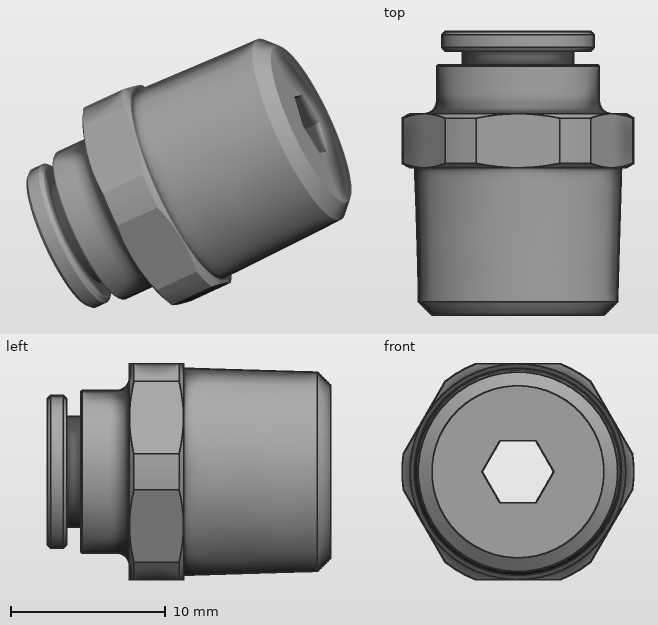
import cadquery as cq
import math

length = 18.37
tip_chamfer_end = 0.88
hex_start = 9.53
hex_end = 13.05
neck_end = 13.83
body_end = 16.2
collar_start = 17.08

tip_radius = 5.57
thread_small_radius = 6.45
thread_large_radius = 6.7
body_radius = 5.27
groove_radius = 3.6
collar_radius = 4.95

hex_flats = 14.0
hex_corner_diameter = 15.0
hex_corner_radius = hex_corner_diameter / 2
hex_chamfer_radius = 6.98
hex_chamfer_length = 0.3

collar_chamfer = 0.24
body_chamfer = 0.11
socket_flats = 4.0


def hexagon(flats, start, end):
    """Hexagonal prism along Y with two corners on the X axis."""
    across_corners = flats / math.cos(math.radians(30))
    plane = cq.Workplane("XZ", origin=(0, end, 0))
    return plane.polygon(6, across_corners).extrude(end - start)


def revolve_about_y(profile):
    """Close a half profile and turn it around the Y axis."""
    return profile.close().revolve(360, (0, 0, 0), (0, 1, 0))


def cylinder(radius, start, end):
    """Round bar along Y."""
    return cq.Workplane("XZ", origin=(0, end, 0)).circle(radius).extrude(end - start)


def threaded_end():
    """Tapered thread envelope with a chamfered tip."""
    return revolve_about_y(
        cq.Workplane("XY")
        .lineTo(tip_radius, 0)
        .lineTo(thread_small_radius, tip_chamfer_end)
        .lineTo(thread_large_radius, hex_start)
        .lineTo(0, hex_start)
    )


def wrench_hex():
    """Hexagon cut by a turned envelope that chamfers both ends."""
    envelope = revolve_about_y(
        cq.Workplane("XY")
        .moveTo(0, hex_start)
        .lineTo(hex_chamfer_radius, hex_start)
        .lineTo(hex_corner_radius, hex_start + hex_chamfer_length)
        .lineTo(hex_corner_radius, hex_end - hex_chamfer_length)
        .lineTo(hex_chamfer_radius, hex_end)
        .lineTo(0, hex_end)
    )
    return hexagon(hex_flats, hex_start, hex_end).intersect(envelope)


def body():
    """Sleeve that flares into the hexagon through a concave fillet."""
    fillet_radius = neck_end - hex_end
    arc_offset = fillet_radius * (1 - math.sqrt(0.5))
    return revolve_about_y(
        cq.Workplane("XY")
        .moveTo(0, hex_end)
        .lineTo(body_radius + fillet_radius, hex_end)
        .threePointArc((body_radius + arc_offset, hex_end + arc_offset), (body_radius, neck_end))
        .lineTo(body_radius, body_end - body_chamfer)
        .lineTo(body_radius - body_chamfer, body_end)
        .lineTo(0, body_end)
    )


def release_collar():
    """Collar with chamfered rims on a narrower stem."""
    stem = cylinder(groove_radius, body_end, collar_start)
    collar = cylinder(collar_radius, collar_start, length).edges().chamfer(collar_chamfer)
    return stem.union(collar)


fitting = threaded_end().union(wrench_hex()).union(body()).union(release_collar())
result = fitting.cut(hexagon(socket_flats, 0, length))